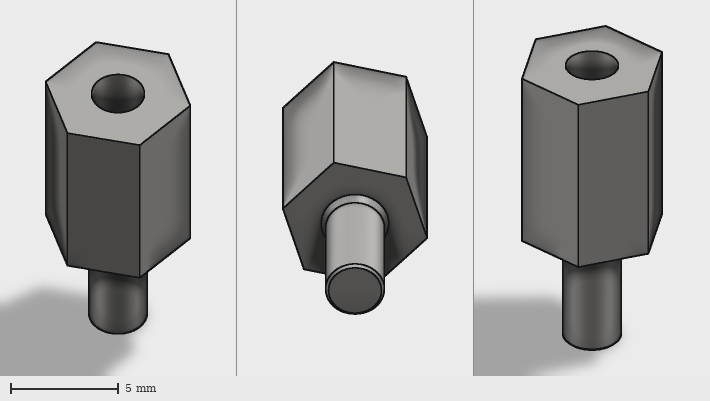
import cadquery as cq
import math

total_height = 15.0
hex_height = 9.0
hex_flats = 6.0
hex_corners = hex_flats / math.cos(math.radians(30))

stud_length = total_height - hex_height
stud_diameter = 2.75
stud_radius = stud_diameter / 2
collar_radius = 1.58
collar_height = 0.4
tip_chamfer = 0.14

hole_diameter = 2.46
hole_radius = hole_diameter / 2
hole_depth = 6.0
drill_point_angle = 118.0
drill_point_depth = hole_radius / math.tan(math.radians(drill_point_angle / 2))


def make_body():
    """Hexagonal prism standing on Z = 0, with corners on the Y axis."""
    return (
        cq.Workplane("XY")
        .polygon(6, hex_corners)
        .extrude(hex_height)
        .rotate((0, 0, 0), (0, 0, 1), 90)
    )


def make_stud():
    """Round stud hanging from Z = 0, with a conical collar and a chamfered tip."""
    half_profile = [
        (0, 0),
        (collar_radius, 0),
        (stud_radius, -collar_height),
        (stud_radius, tip_chamfer - stud_length),
        (stud_radius - tip_chamfer, -stud_length),
        (0, -stud_length),
    ]
    return cq.Workplane("XZ").polyline(half_profile).close().revolve(360, (0, 0), (0, 1))


def make_hole():
    """Hole volume opening at the top of the body and ending in a cone."""
    hole_floor = hex_height - hole_depth
    half_profile = [
        (0, hex_height),
        (hole_radius, hex_height),
        (hole_radius, hole_floor),
        (0, hole_floor - drill_point_depth),
    ]
    return cq.Workplane("XZ").polyline(half_profile).close().revolve(360, (0, 0), (0, 1))


result = make_body().union(make_stud()).cut(make_hole())